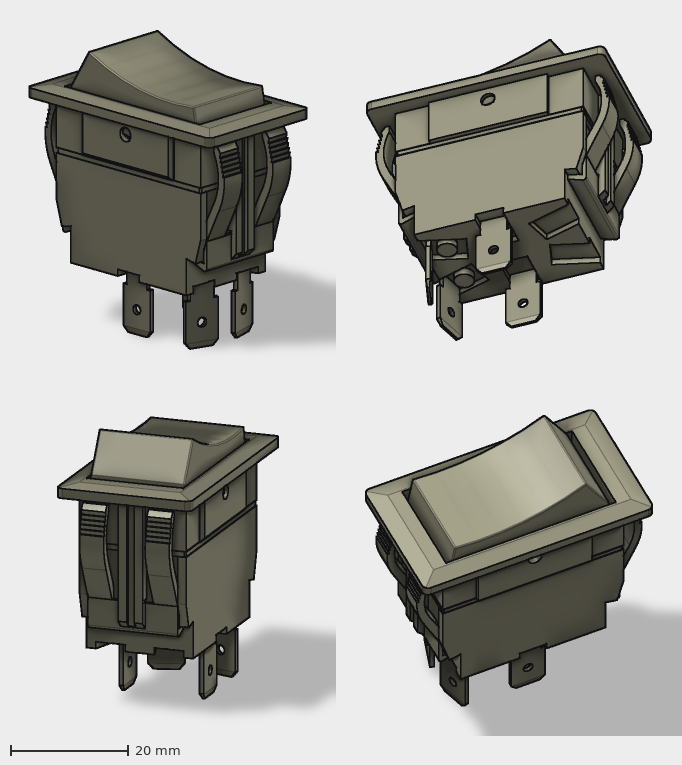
import cadquery as cq


BEZEL_LENGTH = 43.2
BEZEL_WIDTH = 24.5
BEZEL_CORNER_RADIUS = 1.1
RIM_HEIGHT = 1.75
CROWN_HEIGHT = 0.6
CROWN_BORDER = 3.05
BEZEL_TOP = RIM_HEIGHT + CROWN_HEIGHT
OPENING_LENGTH = 31.95
OPENING_WIDTH = 17.55

BODY_HALF_LENGTH = 17.05
BODY_WIDTH = 19.4
BODY_SIDE = BODY_WIDTH / 2
TAPER_TOP_Z = -17.9
SHOULDER_X = 15.8
SHOULDER_OUTER_Z = -22.35
SHOULDER_INNER_Z = -21.93
FOOT_HALF_LENGTH = 13.65
BODY_BOTTOM_Z = -28.45
CAVITY_FLOOR_Z = -7.75

BAND_TOP_Z = -8.6
BAND_BOTTOM_Z = -9.6
BAND_DEPTH = 0.1
BAND_CORNER = 0.3

PAD_LENGTH = 21.5
PAD_PROJECTION = 0.77
PAD_BEVEL = 0.65
PIVOT_Z = -2.5
PIVOT_HOLE_DIAMETER = 2.5

RAIL_WIDTH = 4.45
RAIL_PROJECTION = 1.2
RAIL_BOTTOM_Z = -23.0
RAIL_GROOVE_WIDTH = 1.35
RAIL_GROOVE_DEPTH = 0.85

POCKET_WIDTH = 5.1
POCKET_LENGTH = 7.55
POCKET_CEILING_Z = -27.25
ANGLED_POCKET_Y = 5.3
TERMINAL_ANGLE = 16.4
TERMINAL_WIDTH = 6.35
TERMINAL_THICKNESS = 0.77
NECK_WIDTH = 4.75
NECK_BOTTOM_Z = -30.3
TIP_TOP_Z = -37.75
TIP_Z = -38.85
TIP_SIDE_CHAMFER = 0.95
TIP_FACE_CHAMFER = 0.2
TERMINAL_HOLE_DIAMETER = 1.7
TERMINAL_HOLE_Z = -34.35
CENTRE_TERMINAL_Y = 7.3
END_TERMINAL_X = 12.65
END_TERMINAL_Y = 5.05

STUD_DIAMETER = 3.5
STUD_X = 9.7
STUD_Y = 4.2
STUD_PROJECTION = 0.2

CLIP_WIDTH = 16.35
LEAF_GAP = 7.55
PLATE_TOP_Z = -18.45
PLATE_THICKNESS = 0.77
PLATE_INNER_X = BODY_HALF_LENGTH - PLATE_THICKNESS
TOOTH_COUNT = 5
TOOTH_PITCH = 0.8
TOOTH_ADVANCE = 0.185
TOOTH_UNDERCUT = 0.2
TOOTH_START_X = 20.25
TOOTH_START_Z = -2.1
LEAF_TOP_Z = -1.0
LEAF_TOP_OUTER_X = 19.45
LEAF_TOP_INNER_X = 18.7
LEAF_INNER_ARC_START = (LEAF_TOP_INNER_X, -2.27)
LEAF_INNER_ARC_MIDDLE = (19.75, -6.55)
LEAF_INNER_ARC_END = (18.85, -11.05)
LEAF_OUTER_ARC_MIDDLE = (21.05, -8.7)
LEAF_OUTER_ARC_END = (19.9, -12.45)
LEAF_SLOPE = 0.5
CLIP_INSIDE_CORNER_Z = -22.55
CLIP_FOOT_END_Z = -22.85
CLIP_BEND_START = (16.35, -23.9)
CLIP_BEND_MIDDLE = (16.85, -23.75)
CLIP_BEND_END = (BODY_HALF_LENGTH, -23.35)

ROCKER_WIDTH = 17.05
ROCKER_TILT = 10.4
ROCKER_HALF_LENGTH = 15.45
ROCKER_TOP_HALF_LENGTH = 12.6
ROCKER_BOTTOM = -1.3
ROCKER_CORNER_HEIGHT = 2.4
ROCKER_TOP_HEIGHT = 10.0
ROCKER_DISH = 1.9
ROCKER_EDGE_RADIUS = 0.25
TRUNNION_INSET = 0.7
TRUNNION_RAMP_TOP = -0.45


def block(x_size, y_size, z_low, z_high):
    """Box centred on the Z axis between two heights."""
    return cq.Workplane("XY").workplane(offset=z_low).rect(x_size, y_size).extrude(z_high - z_low)


def xz_prism(outline, width):
    """Extrude a closed outline in the XZ plane symmetrically across Y."""
    return outline.close().extrude(width / 2, both=True)


def make_bezel():
    rim = block(BEZEL_LENGTH, BEZEL_WIDTH, 0, RIM_HEIGHT)
    crown = (
        cq.Workplane("XY")
        .workplane(offset=RIM_HEIGHT)
        .rect(BEZEL_LENGTH, BEZEL_WIDTH)
        .workplane(offset=CROWN_HEIGHT)
        .rect(BEZEL_LENGTH - 2 * CROWN_BORDER, BEZEL_WIDTH - 2 * CROWN_BORDER)
        .loft(ruled=True)
    )
    rounded = block(BEZEL_LENGTH, BEZEL_WIDTH, 0, BEZEL_TOP).edges("|Z").fillet(BEZEL_CORNER_RADIUS)
    return rim.union(crown).intersect(rounded)


def make_body():
    right_side = [
        (BODY_HALF_LENGTH, 0),
        (BODY_HALF_LENGTH, TAPER_TOP_Z),
        (SHOULDER_X, SHOULDER_OUTER_Z),
        (FOOT_HALF_LENGTH, SHOULDER_INNER_Z),
        (FOOT_HALF_LENGTH, BODY_BOTTOM_Z),
    ]
    left_side = [(-x, z) for x, z in reversed(right_side)]
    return xz_prism(cq.Workplane("XZ").polyline(right_side + left_side), BODY_WIDTH)


def make_band_cut():
    """Ring that recesses the band, leaving a core with chamfered corners."""
    core = block(
        2 * (BODY_HALF_LENGTH - BAND_DEPTH), BODY_WIDTH - 2 * BAND_DEPTH, BAND_BOTTOM_Z, BAND_TOP_Z
    )
    ring = block(2 * BODY_HALF_LENGTH, BODY_WIDTH, BAND_BOTTOM_Z, BAND_TOP_Z)
    return ring.cut(core.edges("|Z").chamfer(BAND_CORNER))


def make_pads():
    """Bevelled pad on the -Y wall and a plain pad on the +Y wall."""
    pad_depth = BODY_SIDE + PAD_PROJECTION
    pads = block(PAD_LENGTH, 2 * pad_depth, BAND_TOP_Z, 0)
    return pads.faces("<Y").edges("|Z or <Z").chamfer(PAD_BEVEL)


def make_rail():
    """Grooved rail on the +X end wall."""
    outer_x = BODY_HALF_LENGTH + RAIL_PROJECTION
    rail = xz_prism(
        cq.Workplane("XZ").polyline([
            (SHOULDER_X, 0),
            (outer_x, 0),
            (outer_x, RAIL_BOTTOM_Z + RAIL_PROJECTION),
            (BODY_HALF_LENGTH, RAIL_BOTTOM_Z),
            (BODY_HALF_LENGTH, TAPER_TOP_Z),
            (SHOULDER_X, TAPER_TOP_Z),
        ]),
        RAIL_WIDTH,
    )
    groove = block(2 * RAIL_GROOVE_DEPTH, RAIL_GROOVE_WIDTH, RAIL_BOTTOM_Z, 0)
    return rail.cut(groove.translate((outer_x, 0, 0)))


def make_pocket():
    """Pocket running towards -X from the origin, extended past its open end to clear the face."""
    overrun = POCKET_WIDTH / 2
    length = POCKET_LENGTH + overrun
    pocket = block(length, POCKET_WIDTH, BODY_BOTTOM_Z, POCKET_CEILING_Z)
    return pocket.translate((overrun - length / 2, 0, 0))


def make_all_pockets():
    """Four angled pockets in the end faces and one straight pocket in each long face."""
    angled = make_pocket().rotate((0, 0, 0), (0, 0, 1), TERMINAL_ANGLE)
    angled = angled.translate((FOOT_HALF_LENGTH, ANGLED_POCKET_Y, 0))
    straight = make_pocket().rotate((0, 0, 0), (0, 0, 1), 90).translate((0, BODY_SIDE, 0))
    one_side = angled.union(angled.mirror("YZ")).union(straight)
    return one_side.union(one_side.mirror("XZ"))


def make_clip_recess():
    """Shallow recess behind the leaves of both clips, from the band down to the plates."""
    recess = block(2 * BODY_HALF_LENGTH, CLIP_WIDTH, SHOULDER_OUTER_Z, BAND_BOTTOM_Z)
    core = block(2 * PLATE_INNER_X, CLIP_WIDTH, SHOULDER_OUTER_Z, BAND_BOTTOM_Z)
    return recess.cut(core)


def make_studs():
    bottom_z = BODY_BOTTOM_Z - STUD_PROJECTION
    return (
        cq.Workplane("XY")
        .workplane(offset=bottom_z)
        .pushPoints([(STUD_X, -STUD_Y), (STUD_X, STUD_Y)])
        .circle(STUD_DIAMETER / 2)
        .extrude(POCKET_CEILING_Z - bottom_z)
    )


def make_housing(clips):
    rail = make_rail()
    pivot_hole = (
        cq.Workplane("XZ")
        .center(0, PIVOT_Z)
        .circle(PIVOT_HOLE_DIAMETER / 2)
        .extrude(BEZEL_WIDTH / 2, both=True)
    )
    housing = (
        make_body()
        .cut(make_band_cut())
        .cut(make_clip_recess())
        .union(make_pads())
        .union(rail)
        .union(rail.mirror("YZ"))
        .union(make_bezel())
        .cut(block(OPENING_LENGTH, OPENING_WIDTH, CAVITY_FLOOR_Z, BEZEL_TOP))
        .cut(pivot_hole)
        .cut(make_all_pockets())
        .union(make_studs())
    )
    for clip in clips:
        housing = housing.cut(clip)
    return housing


def make_trunnions():
    """Pivot shaft whose two ends have a ramp underneath for snapping in."""
    radius = PIVOT_HOLE_DIAMETER / 2
    end_y = BODY_SIDE + PAD_PROJECTION - TRUNNION_INSET
    shaft = cq.Workplane("XZ").circle(radius).extrude(end_y, both=True)
    ramp_root_y = end_y - (TRUNNION_RAMP_TOP + radius)
    ramp = (
        cq.Workplane("YZ")
        .polyline([(end_y, TRUNNION_RAMP_TOP), (ramp_root_y, -radius), (end_y, -radius)])
        .close()
        .extrude(radius, both=True)
    )
    return shaft.cut(ramp).cut(ramp.mirror("XZ"))


def make_rocker():
    rocker = xz_prism(
        cq.Workplane("XZ")
        .moveTo(-ROCKER_HALF_LENGTH, ROCKER_BOTTOM)
        .lineTo(-ROCKER_HALF_LENGTH, ROCKER_CORNER_HEIGHT)
        .lineTo(-ROCKER_TOP_HALF_LENGTH, ROCKER_TOP_HEIGHT)
        .threePointArc((0, ROCKER_TOP_HEIGHT - ROCKER_DISH), (ROCKER_TOP_HALF_LENGTH, ROCKER_TOP_HEIGHT))
        .lineTo(ROCKER_HALF_LENGTH, ROCKER_CORNER_HEIGHT)
        .lineTo(ROCKER_HALF_LENGTH, ROCKER_BOTTOM),
        ROCKER_WIDTH,
    )
    rocker = rocker.edges("not <Z").fillet(ROCKER_EDGE_RADIUS)
    rocker = rocker.union(make_trunnions())
    return rocker.rotate((0, 0, 0), (0, 1, 0), ROCKER_TILT).translate((0, 0, PIVOT_Z))


def make_clip():
    """Clip on the +X end: two toothed leaves rising from one plate with a foot under the shoulder."""
    inner_bend_x, inner_bend_z = LEAF_INNER_ARC_END
    leaf_root_z = inner_bend_z - (inner_bend_x - PLATE_INNER_X) / LEAF_SLOPE
    teeth_end_x = TOOTH_START_X + TOOTH_COUNT * TOOTH_ADVANCE
    teeth_end_z = TOOTH_START_Z - TOOTH_COUNT * TOOTH_PITCH

    profile = (
        cq.Workplane("XZ")
        .moveTo(LEAF_TOP_INNER_X, LEAF_TOP_Z)
        .lineTo(*LEAF_INNER_ARC_START)
        .threePointArc(LEAF_INNER_ARC_MIDDLE, LEAF_INNER_ARC_END)
        .lineTo(PLATE_INNER_X, leaf_root_z)
        .lineTo(PLATE_INNER_X, CLIP_INSIDE_CORNER_Z)
        .lineTo(FOOT_HALF_LENGTH, SHOULDER_INNER_Z)
        .lineTo(FOOT_HALF_LENGTH, CLIP_FOOT_END_Z)
        .lineTo(*CLIP_BEND_START)
        .threePointArc(CLIP_BEND_MIDDLE, CLIP_BEND_END)
        .lineTo(BODY_HALF_LENGTH, PLATE_TOP_Z)
        .lineTo(*LEAF_OUTER_ARC_END)
        .threePointArc(LEAF_OUTER_ARC_MIDDLE, (teeth_end_x, teeth_end_z))
    )
    for tooth in reversed(range(TOOTH_COUNT)):
        tip_x = TOOTH_START_X + tooth * TOOTH_ADVANCE
        tip_z = TOOTH_START_Z - tooth * TOOTH_PITCH
        profile = profile.lineTo(tip_x - TOOTH_UNDERCUT, tip_z - TOOTH_PITCH).lineTo(tip_x, tip_z)
    profile = profile.lineTo(LEAF_TOP_OUTER_X, LEAF_TOP_Z)

    clip = xz_prism(profile, CLIP_WIDTH)
    between_leaves = block(BEZEL_LENGTH, LEAF_GAP, PLATE_TOP_Z, 0)
    return clip.cut(between_leaves)


def make_terminal():
    """Blade terminal with its width along X, centred on the Z axis."""
    half_width = TERMINAL_WIDTH / 2
    half_neck = NECK_WIDTH / 2
    half_thickness = TERMINAL_THICKNESS / 2
    right_side = [
        (half_neck, POCKET_CEILING_Z),
        (half_neck, NECK_BOTTOM_Z),
        (half_width, NECK_BOTTOM_Z),
        (half_width, TIP_TOP_Z),
        (half_width - TIP_SIDE_CHAMFER, TIP_Z),
    ]
    left_side = [(-x, z) for x, z in reversed(right_side)]
    blade = xz_prism(cq.Workplane("XZ").polyline(right_side + left_side), TERMINAL_THICKNESS)

    tip_half = half_thickness - TIP_FACE_CHAMFER
    edge_profile = (
        cq.Workplane("YZ")
        .polyline([
            (half_thickness, POCKET_CEILING_Z),
            (half_thickness, TIP_TOP_Z),
            (tip_half, TIP_Z),
            (-tip_half, TIP_Z),
            (-half_thickness, TIP_TOP_Z),
            (-half_thickness, POCKET_CEILING_Z),
        ])
        .close()
        .extrude(half_width, both=True)
    )
    hole = (
        cq.Workplane("XZ")
        .center(0, TERMINAL_HOLE_Z)
        .circle(TERMINAL_HOLE_DIAMETER / 2)
        .extrude(TERMINAL_THICKNESS, both=True)
    )
    return blade.intersect(edge_profile).cut(hole)


right_clip = make_clip()
clips = [right_clip, right_clip.mirror("YZ")]
housing = make_housing(clips)
rocker = make_rocker()

terminals = []
for side in (-1, 1):
    terminals.append(make_terminal().translate((0, side * CENTRE_TERMINAL_Y, 0)))
    end_terminal = make_terminal().rotate((0, 0, 0), (0, 0, 1), 90 + side * TERMINAL_ANGLE)
    terminals.append(end_terminal.translate((END_TERMINAL_X, side * END_TERMINAL_Y, 0)))

bodies = [housing, rocker, *clips, *terminals]
result = cq.Compound.makeCompound([body.solids().val() for body in bodies])